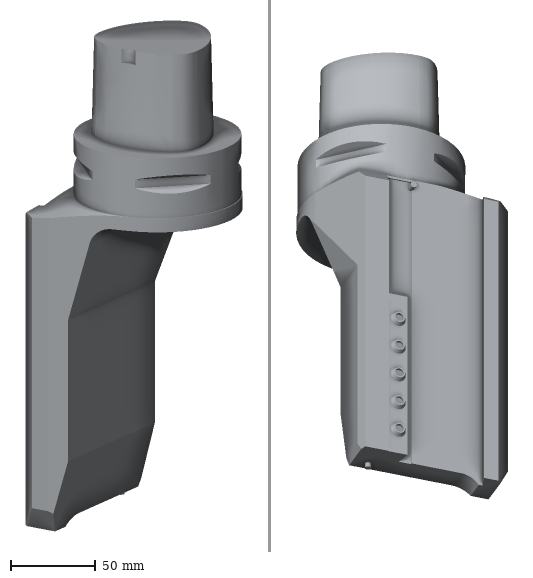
import cadquery as cq
import math

TOTAL_HEIGHT = 300.0
FLANGE_DIAMETER = 100.0
FLANGE_RADIUS = FLANGE_DIAMETER / 2
PLATE_RADIUS = 50.7
FLANGE_BOTTOM = 202.8
FLANGE_TOP = 240.0
LOBE_OFFSET = 3.0
LOBE_COUNT = 3
LOBE_PITCH = 360 / LOBE_COUNT
LOBE_HALF_ANGLE = 27
SHANK_BASE_RADIUS = 36.3
SHANK_TOP_RADIUS = 34.8
NOTCH_RADIUS = 5.7
NOTCH_HEIGHT = 8.7
NOTCH_DEPTH = 3.0
GRIP_Z = 223.5
GRIP_CHORD = 46.0
GRIP_BACK_HEIGHT = 5.5
GRIP_MOUTH_HEIGHT = 11.5
GRIP_COUNT = 4
GRIP_START_ANGLE = 45

JAW_FACE_X = -60.3
CHANNEL_FLOOR_X = -51.5
FRONT_Y = -61.8
UPPER_JAW_Y = 33.3
LOWER_CORNER_Y = -51.5
FRONT_FLAT_START_X = -49.0
FRONT_FLAT_END_X = -37.2
BACK_X = -25.2
SIDE_Y = 35.7
TAPER_TOP_Z = 135.0
BACK_RELIEF_Z = 47.0
PLATE_BOTTOM = 194.0
BACK_FILLET = 13.8
SLOPE_ANGLE = 15
SLOPE = math.tan(math.radians(SLOPE_ANGLE))
JAW_CHAMFER_Z = 193.2
BODY_BOTTOM = 5.7
TOE_CHAMFER_WIDTH = 8.0
TOE_CHAMFER_HEIGHT = 14.7
SIDE_CHAMFER_WIDTH = 1.2
SIDE_CHAMFER_HEIGHT = 5.5
TOE_BLEND_WIDTH = 11.7

UPPER_WALL_Y = 18.3
UPPER_WALL_FLOOR_Y = 16.2
HOOK_Y = -42.3
HOOK_FLOOR_Y = -44.7
RECESS_EDGE_Y = 0.5
RECESS_DEPTH = 1.0
RECESS_TOP = 200.5
GIB_Y = 6.3
GIB_FLOOR_Y = 8.0
GIB_TOP = 115.2
GIB_SETBACK = 0.3
GIB_FACE_X = JAW_FACE_X + GIB_SETBACK
SCREW_COUNT = 5
SCREW_Y = 12.3
SCREW_FIRST_Z = 22.0
SCREW_PITCH = 19.2
SCREW_DIAMETER = 9.5
SCREW_TIP_DIAMETER = 7.0
SCREW_HEIGHT = 2.5
SOCKET_DIAMETER = 5.0
SOCKET_DEPTH = 1.8
PIN_DIAMETER = 4.0
PIN_LENGTH = 4.0
PIN_Z = 196.8
STUD_X = -42.0
STUD_Y = 24.5
STUD_LENGTH = 3.0

EMBED = 3.0
MARGIN = 15.0


def lobed_arc(mean_radius, z, start, end, samples=12):
    """Stretch of a three-lobed constant-width curve; angles run clockwise from the +Y lobe."""
    points = []
    tangents = []
    for i in range(samples + 1):
        u = math.radians(start + (end - start) * i / samples)
        x = mean_radius * math.sin(u) - LOBE_OFFSET * (2 * math.sin(2 * u) + math.sin(4 * u))
        y = mean_radius * math.cos(u) + LOBE_OFFSET * (2 * math.cos(2 * u) - math.cos(4 * u))
        points.append(cq.Vector(x, y, z))
        tangents.append(cq.Vector(math.cos(u), -math.sin(u), 0))
    return cq.Edge.makeSpline(points, tangents=[tangents[0], tangents[-1]])


def lobed_wire(mean_radius, z):
    """Closed section of three tight lobes and the three flatter flanks between them."""
    edges = []
    for index in range(LOBE_COUNT):
        lobe = index * LOBE_PITCH
        flank_start = lobe + LOBE_HALF_ANGLE
        flank_end = lobe + LOBE_PITCH - LOBE_HALF_ANGLE
        edges.append(lobed_arc(mean_radius, z, lobe - LOBE_HALF_ANGLE, flank_start))
        edges.append(lobed_arc(mean_radius, z, flank_start, flank_end))
    return cq.Wire.assembleEdges(edges)


def shank():
    body = cq.Workplane(cq.Solid.makeLoft([
        lobed_wire(SHANK_BASE_RADIUS, FLANGE_TOP),
        lobed_wire(SHANK_TOP_RADIUS, TOTAL_HEIGHT),
    ]))
    notch_y = -(SHANK_TOP_RADIUS - LOBE_OFFSET) + NOTCH_DEPTH - NOTCH_RADIUS
    notch = (
        cq.Workplane("XY", origin=(0, notch_y, TOTAL_HEIGHT - NOTCH_HEIGHT))
        .circle(NOTCH_RADIUS)
        .extrude(NOTCH_HEIGHT + MARGIN)
    )
    return body.cut(notch)


def flange():
    body = (
        cq.Workplane("XY", origin=(0, 0, FLANGE_BOTTOM))
        .circle(FLANGE_RADIUS)
        .extrude(FLANGE_TOP - FLANGE_BOTTOM)
    )
    inner = math.sqrt(FLANGE_RADIUS**2 - (GRIP_CHORD / 2) ** 2)
    back = GRIP_BACK_HEIGHT / 2
    mouth = GRIP_MOUTH_HEIGHT / 2
    grip = (
        cq.Workplane("XZ")
        .polyline([
            (inner, GRIP_Z - back),
            (FLANGE_RADIUS, GRIP_Z - mouth),
            (FLANGE_RADIUS + MARGIN, GRIP_Z - mouth),
            (FLANGE_RADIUS + MARGIN, GRIP_Z + mouth),
            (FLANGE_RADIUS, GRIP_Z + mouth),
            (inner, GRIP_Z + back),
        ])
        .close()
        .extrude(GRIP_CHORD / 2, both=True)
    )
    for i in range(GRIP_COUNT):
        angle = GRIP_START_ANGLE + i * 360 / GRIP_COUNT
        body = body.cut(grip.rotate((0, 0, 0), (0, 0, 1), angle))
    return body


def tangent_point(x, y, side):
    """Point where a line from (x, y) touches the plate circle."""
    angle = math.atan2(y, x) + side * math.acos(PLATE_RADIUS / math.hypot(x, y))
    return PLATE_RADIUS * math.cos(angle), PLATE_RADIUS * math.sin(angle)


def blade_plan():
    """Plate circle joined by tangent lines to the two jaws."""
    return (
        cq.Workplane("XY")
        .moveTo(JAW_FACE_X, UPPER_JAW_Y)
        .lineTo(JAW_FACE_X, LOWER_CORNER_Y)
        .lineTo(FRONT_FLAT_START_X, FRONT_Y)
        .lineTo(FRONT_FLAT_END_X, FRONT_Y)
        .lineTo(*tangent_point(FRONT_FLAT_END_X, FRONT_Y, 1))
        .threePointArc((PLATE_RADIUS, 0), tangent_point(JAW_FACE_X, UPPER_JAW_Y, -1))
        .close()
        .extrude(FLANGE_BOTTOM)
    )


def back_profile():
    """Side silhouette in XZ, with the sloping and filleted back."""
    jaw_chamfer = FLANGE_BOTTOM - JAW_CHAMFER_Z
    shoulder_x = BACK_X + (PLATE_BOTTOM - TAPER_TOP_Z) * SLOPE
    far_x = PLATE_RADIUS + MARGIN
    width = 2 * (PLATE_RADIUS + MARGIN)
    return (
        cq.Workplane("XZ")
        .polyline([
            (JAW_FACE_X, 0),
            (BACK_X - BACK_RELIEF_Z * SLOPE, 0),
            (BACK_X, BACK_RELIEF_Z),
            (BACK_X, TAPER_TOP_Z),
            (shoulder_x, PLATE_BOTTOM),
            (far_x, PLATE_BOTTOM),
            (far_x, FLANGE_BOTTOM),
            (JAW_FACE_X + jaw_chamfer, FLANGE_BOTTOM),
            (JAW_FACE_X, JAW_CHAMFER_Z),
        ])
        .close()
        .extrude(width, both=True)
        .edges(cq.selectors.NearestToPointSelector((shoulder_x, 0, PLATE_BOTTOM)))
        .fillet(BACK_FILLET)
    )


def side_profile():
    """Silhouette in YZ, with the tapered +Y side and the toe at -Y."""
    blend_radius = (TOE_BLEND_WIDTH**2 + BODY_BOTTOM**2) / (2 * BODY_BOTTOM)
    blend_angle = math.asin(TOE_BLEND_WIDTH / blend_radius) / 2
    blend_start_y = HOOK_Y + TOE_BLEND_WIDTH
    blend_middle = (
        blend_start_y - blend_radius * math.sin(blend_angle),
        BODY_BOTTOM - blend_radius * (1 - math.cos(blend_angle)),
    )
    return (
        cq.Workplane("YZ")
        .moveTo(SIDE_Y - SIDE_CHAMFER_WIDTH, BODY_BOTTOM)
        .lineTo(SIDE_Y, BODY_BOTTOM + SIDE_CHAMFER_HEIGHT)
        .lineTo(SIDE_Y, TAPER_TOP_Z)
        .lineTo(SIDE_Y + (FLANGE_BOTTOM - TAPER_TOP_Z) * SLOPE, FLANGE_BOTTOM)
        .lineTo(FRONT_Y, FLANGE_BOTTOM)
        .lineTo(FRONT_Y, TOE_CHAMFER_HEIGHT)
        .lineTo(FRONT_Y + TOE_CHAMFER_WIDTH, 0)
        .lineTo(HOOK_Y, 0)
        .threePointArc(blend_middle, (blend_start_y, BODY_BOTTOM))
        .close()
        .extrude(2 * (PLATE_RADIUS + MARGIN), both=True)
    )


def shoulder_cone():
    """Shallow cone falling away from the plate rim, solid underneath."""
    outer = 2 * PLATE_RADIUS
    return (
        cq.Workplane("XZ")
        .polyline([
            (0, 0),
            (outer, 0),
            (outer, FLANGE_BOTTOM - (outer - PLATE_RADIUS) * SLOPE),
            (PLATE_RADIUS, FLANGE_BOTTOM),
            (0, FLANGE_BOTTOM),
        ])
        .close()
        .revolve(360, (0, 0), (0, 1))
    )


def channel():
    opening_x = JAW_FACE_X - MARGIN
    groove = (
        cq.Workplane("XY")
        .polyline([
            (opening_x, UPPER_WALL_Y),
            (JAW_FACE_X, UPPER_WALL_Y),
            (CHANNEL_FLOOR_X, UPPER_WALL_FLOOR_Y),
            (CHANNEL_FLOOR_X, HOOK_FLOOR_Y),
            (JAW_FACE_X, HOOK_Y),
            (opening_x, HOOK_Y),
        ])
        .close()
        .extrude(FLANGE_BOTTOM)
    )
    recess = cq.Workplane("XY").box(
        RECESS_DEPTH + EMBED,
        UPPER_WALL_FLOOR_Y - RECESS_EDGE_Y,
        RECESS_TOP,
        centered=False,
    ).translate((CHANNEL_FLOOR_X - EMBED, RECESS_EDGE_Y, 0))
    return groove.union(recess)


def gib():
    """Clamping strip against the upper jaw."""
    inner_x = CHANNEL_FLOOR_X + EMBED
    return (
        cq.Workplane("XY", origin=(0, 0, BODY_BOTTOM))
        .polyline([
            (GIB_FACE_X, UPPER_WALL_Y),
            (GIB_FACE_X, GIB_Y),
            (CHANNEL_FLOOR_X, GIB_FLOOR_Y),
            (inner_x, GIB_FLOOR_Y),
            (inner_x, UPPER_WALL_Y),
        ])
        .close()
        .extrude(GIB_TOP - BODY_BOTTOM)
    )


def screw(z):
    """Tapered screw head with a round socket, facing -X."""
    tip_x = GIB_FACE_X - SCREW_HEIGHT
    head = cq.Solid.makeCone(
        SCREW_DIAMETER / 2,
        SCREW_TIP_DIAMETER / 2,
        SCREW_HEIGHT,
        cq.Vector(GIB_FACE_X, SCREW_Y, z),
        cq.Vector(-1, 0, 0),
    )
    socket = cq.Solid.makeCylinder(
        SOCKET_DIAMETER / 2,
        SOCKET_DEPTH,
        cq.Vector(tip_x, SCREW_Y, z),
        cq.Vector(1, 0, 0),
    )
    return cq.Workplane(head.cut(socket))


def stop_pin():
    return cq.Workplane(cq.Solid.makeCylinder(
        PIN_DIAMETER / 2,
        PIN_LENGTH + EMBED,
        cq.Vector(CHANNEL_FLOOR_X + EMBED, RECESS_EDGE_Y, PIN_Z),
        cq.Vector(-1, 0, 0),
    ))


def bottom_stud():
    return (
        cq.Workplane("XY", origin=(STUD_X, STUD_Y, BODY_BOTTOM - STUD_LENGTH))
        .circle(PIN_DIAMETER / 2)
        .extrude(STUD_LENGTH + EMBED)
    )


blade = (
    blade_plan()
    .intersect(back_profile())
    .intersect(side_profile())
    .intersect(shoulder_cone())
    .cut(channel())
)
result = blade.union(flange()).union(shank()).union(gib()).union(stop_pin()).union(bottom_stud())
for index in range(SCREW_COUNT):
    result = result.union(screw(SCREW_FIRST_Z + index * SCREW_PITCH))